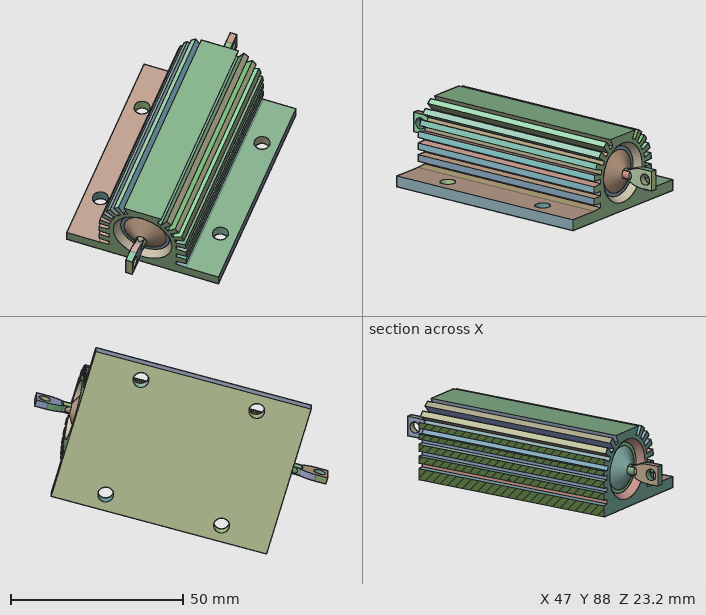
import cadquery as cq
import math

total_length = 88.0
base_width = 47.0
body_height = 23.2
body_length = 65.1

base_thickness = 3.3
mount_hole_diameter = 4.6
mount_hole_spacing_x = 37.1
mount_hole_spacing_y = 35.0

axis_height = 11.6
fin_radius = 13.5
slot_floor_radius = 10.4
slot_floor_width = 1.3
slot_mouth_width = 1.7
radial_slot_angles = (0, 15, 30, 45, 60)

lower_slot_bottom = 7.2
lower_slot_top = 8.5
foot_slot_bottom = 3.6
foot_slot_top = 4.9
slot_flare = 0.3

recess_mouth_radius = 9.1
recess_floor_radius = 7.6
recess_depth = 2.1
cone_base_radius = 6.5
cone_height = 3.1

stem_radius = 1.6
stem_chamfer = 0.5
stem_start = 7.5
tab_thickness = 2.0
tab_width = 6.0
tab_hole_diameter = 3.3
tab_hole_inset = 2.5
taper_start = 3.5
taper_end = 8.2
taper_end_width = 3.5
neck_end = 9.9
neck_end_width = 2.55

body_end = body_length / 2
tip_end = total_length / 2
recess_floor = body_end - recess_depth
cone_top = recess_floor + cone_height


def make_profile_bar(points):
    """Closed XZ outline extruded over the full length of the body."""
    return cq.Workplane("XZ").polyline(points).close().extrude(body_end, both=True)


def make_radial_slot(angle):
    """Slot aimed at the barrel axis that widens steadily towards its mouth."""
    widening = (slot_mouth_width - slot_floor_width) / (fin_radius - slot_floor_radius)
    outer = fin_radius + slot_floor_width
    half_floor = slot_floor_width / 2
    half_outer = half_floor + widening * (outer - slot_floor_radius) / 2
    corners = [
        (slot_floor_radius, -half_floor),
        (outer, -half_outer),
        (outer, half_outer),
        (slot_floor_radius, half_floor),
    ]
    slot = make_profile_bar(corners)
    slot = slot.rotate((0, 0, 0), (0, 1, 0), -angle)
    return slot.translate((0, 0, axis_height))


def make_lower_slots():
    """The slot above the lowest fin, and the slot between that fin and the base."""
    lower_slot = make_profile_bar([
        (slot_floor_radius, lower_slot_bottom),
        (fin_radius, lower_slot_bottom),
        (fin_radius, lower_slot_top + slot_flare),
        (slot_floor_radius, lower_slot_top),
    ])
    foot_slot = make_profile_bar([
        (slot_floor_radius, foot_slot_bottom),
        (fin_radius, base_thickness),
        (fin_radius, foot_slot_top + slot_flare),
        (slot_floor_radius, foot_slot_top),
    ])
    return lower_slot.union(foot_slot)


def make_body():
    base = cq.Workplane("XY").box(base_width, body_length, base_thickness, centered=(True, True, False))
    web = cq.Workplane("XY").box(2 * fin_radius, body_length, axis_height, centered=(True, True, False))
    barrel = cq.Workplane("XZ").center(0, axis_height).circle(fin_radius).extrude(body_end, both=True)
    envelope = cq.Workplane("XY").box(base_width, body_length, body_height, centered=(True, True, False))
    body = base.union(web).union(barrel).intersect(envelope)

    side_slots = make_lower_slots()
    for angle in radial_slot_angles:
        side_slots = side_slots.union(make_radial_slot(angle))
    body = body.cut(side_slots).cut(side_slots.mirror("YZ"))

    mount_holes = (
        cq.Workplane("XY")
        .rect(mount_hole_spacing_x, mount_hole_spacing_y, forConstruction=True)
        .vertices()
        .circle(mount_hole_diameter / 2)
        .extrude(base_thickness)
    )
    return body.cut(mount_holes)


def revolve_about_barrel(points):
    """Half outline of (radius, y) points turned around the barrel axis."""
    outline = cq.Workplane("XY").polyline(points).close()
    return outline.revolve(360, (0, 0, 0), (0, 1, 0)).translate((0, 0, axis_height))


def make_recess():
    return revolve_about_barrel([
        (0, recess_floor),
        (recess_floor_radius, recess_floor),
        (recess_mouth_radius, body_end),
        (0, body_end),
    ])


def make_insulator_and_stem():
    stem_end = tip_end - stem_start
    return revolve_about_barrel([
        (0, recess_floor),
        (cone_base_radius, recess_floor),
        (stem_radius, cone_top),
        (stem_radius, stem_end - stem_chamfer),
        (stem_radius - stem_chamfer, stem_end),
        (0, stem_end),
    ])


def make_tab():
    """Upright lug whose top and bottom edges curve in to a neck that sinks into the stem."""
    half_tab = tab_width / 2
    half_taper_end = taper_end_width / 2
    half_neck_end = neck_end_width / 2
    run = taper_end - taper_start
    drop = half_tab - half_taper_end
    taper_radius = (run**2 + drop**2) / (2 * drop)
    half_angle = math.asin(run / taper_radius) / 2
    y_start = tip_end - taper_start

    arc_middle = (
        y_start - taper_radius * math.sin(half_angle),
        half_tab - taper_radius * (1 - math.cos(half_angle)),
    )
    upper_half = (
        cq.Workplane("YZ")
        .moveTo(tip_end, 0)
        .lineTo(tip_end, half_tab)
        .lineTo(y_start, half_tab)
        .threePointArc(arc_middle, (tip_end - taper_end, half_taper_end))
        .lineTo(tip_end - neck_end, half_neck_end)
        .lineTo(recess_floor, half_neck_end)
        .lineTo(recess_floor, 0)
        .close()
        .extrude(tab_thickness / 2, both=True)
    )
    tab = upper_half.union(upper_half.mirror("XY"))
    hole = (
        cq.Workplane("YZ")
        .center(tip_end - tab_hole_inset, 0)
        .circle(tab_hole_diameter / 2)
        .extrude(tab_thickness, both=True)
    )
    return tab.cut(hole).translate((0, 0, axis_height))


recess = make_recess()
terminal = make_insulator_and_stem().union(make_tab())

result = (
    make_body()
    .cut(recess)
    .cut(recess.mirror("XZ"))
    .union(terminal)
    .union(terminal.mirror("XZ"))
)